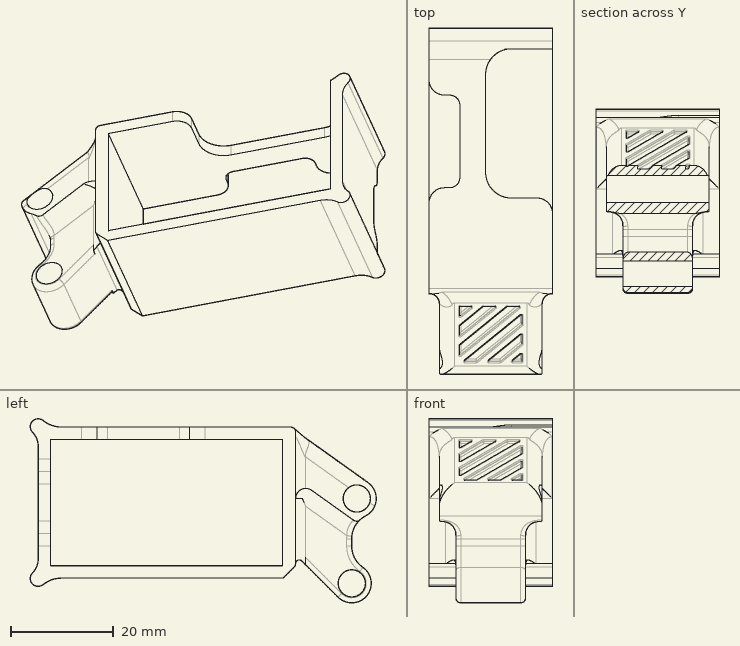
import cadquery as cq
import math

WIDTH = 24.0
CAVITY_LENGTH = 45.0
CAVITY_HEIGHT = 24.5
WALL = 2.45
FRONT_WALL = 2.6
HALF_WIDTH = WIDTH / 2
CAVITY_Y = CAVITY_LENGTH / 2
CAVITY_Z = CAVITY_HEIGHT / 2
FRONT_Y = -CAVITY_Y - FRONT_WALL
BACK_Y = CAVITY_Y + WALL
TOP_Z = CAVITY_Z + WALL

LOWER_CHAMFER = 2.45
LOWER_CHAMFER_BLEND = 1.0
UPPER_ROUND = 1.0

EAR_RADIUS = 1.55
EAR_Y = 24.95
EAR_Z = 14.75
EAR_SIDE_BLEND = 4.0
EAR_TOP_BLEND = 5.6

SIDE_NOTCH_DEPTH = 6.0
SIDE_NOTCH_BACK = 13.5
SIDE_NOTCH_FRONT = -4.5
NOTCH_INNER_RADIUS = 2.0
NOTCH_MOUTH_RADIUS = 3.0
WINDOW_LEFT = -1.0
WINDOW_FRONT = -6.5
WINDOW_RADIUS = 5.0
WINDOW_MOUTH_RADIUS = 3.0
BACK_NOTCH_DEPTH = 2.5
BACK_NOTCH_HALF_HEIGHT = 6.0
BACK_NOTCH_RADIUS = 3.0

SLOPE = math.radians(35.5)
UPPER_PIN = (-36.97, 0.79)
LOWER_PIN = (-36.0, -15.7)
KNUCKLE_RADIUS = 3.8
HOLE_RADIUS = 2.62
UPPER_HALF_WIDTH = 10.0
LOWER_HALF_WIDTH = 6.8
UPPER_EDGE_RADIUS = 3.0
LOWER_EDGE_RADIUS = 1.0
NECK_Y = -36.0
NECK_RADIUS = 5.0
LOWER_ROOT_RADIUS = 0.7
SIDE_ROOT_RADIUS = 1.95
RAMP_FOOT_Y = -26.85

GROOVE_FIELD_WIDTH = 12.16
GROOVE_FIELD_LENGTH = 13.2
GROOVE_FIELD_OFFSET = 0.95
GROOVE_COUNT = 6
GROOVE_PITCH = 4.65
GROOVE_LEG = 2.55
GROOVE_DEPTH = 0.6
GROOVE_FLOOR_RADIUS = 0.3
GROOVE_CORNER_RADIUS = 0.15
GROOVE_MOUTH_RADIUS = 0.2

ROOT_REACH = 20.0
SLAB_DEPTH = 4.0
OVERLAP = 1.0
TINY = 1e-3
BIG = 60.0

DIAGONAL = math.sqrt(0.5)
HALF_ANGLE_TAN = math.tan(math.radians(22.5))

DOWN_SLOPE = (-math.cos(SLOPE), -math.sin(SLOPE))
OFF_SLOPE = (-math.sin(SLOPE), math.cos(SLOPE))


def shift(point, direction, distance):
    return (point[0] + direction[0] * distance, point[1] + direction[1] * distance)


def toward(start, end, distance):
    """Point at a given distance from start on the way to end."""
    length = math.dist(start, end)
    return shift(start, ((end[0] - start[0]) / length, (end[1] - start[1]) / length), distance)


def arc_to(sketch, center, radius, end, start):
    """Add the shorter arc about center from start to end."""
    middle = ((start[0] + end[0]) / 2, (start[1] + end[1]) / 2)
    return sketch.threePointArc(toward(center, middle, radius), end)


def along_x(half_width):
    """YZ sketch plane at -X for extrusions symmetric about X = 0."""
    return cq.Workplane("YZ", origin=(-half_width, 0, 0))


def slope_z(y):
    """Height of the sloping top plane at a given Y."""
    tangent = shift(UPPER_PIN, OFF_SLOPE, KNUCKLE_RADIUS)
    return tangent[1] + (y - tangent[0]) * math.tan(SLOPE)


def box(x0, x1, y0, y1, z0, z1):
    return cq.Workplane("XY").box(x1 - x0, y1 - y0, z1 - z0, centered=False).translate((x0, y0, z0))


def make_ear():
    """Upper ear: a round bead blended into the top and back faces."""
    bead = (EAR_Y, EAR_Z)
    reach_y = math.sqrt((EAR_TOP_BLEND + EAR_RADIUS) ** 2 - (TOP_Z + EAR_TOP_BLEND - EAR_Z) ** 2)
    top_center = (EAR_Y - reach_y, TOP_Z + EAR_TOP_BLEND)
    reach_z = math.sqrt((EAR_SIDE_BLEND + EAR_RADIUS) ** 2 - (BACK_Y + EAR_SIDE_BLEND - EAR_Y) ** 2)
    side_center = (BACK_Y + EAR_SIDE_BLEND, EAR_Z - reach_z)
    top_start = (top_center[0], TOP_Z)
    top_end = toward(bead, top_center, EAR_RADIUS)
    side_start = toward(bead, side_center, EAR_RADIUS)
    side_end = (BACK_Y, side_center[1])
    tip_offset = EAR_RADIUS * DIAGONAL
    bead_tip = (EAR_Y + tip_offset, EAR_Z + tip_offset)
    sketch = along_x(HALF_WIDTH).moveTo(*top_start)
    sketch = arc_to(sketch, top_center, EAR_TOP_BLEND, top_end, top_start)
    sketch = sketch.threePointArc(bead_tip, side_start)
    sketch = arc_to(sketch, side_center, EAR_SIDE_BLEND, side_end, side_start)
    sketch = sketch.lineTo(CAVITY_Y, side_end[1]).lineTo(CAVITY_Y, CAVITY_Z).lineTo(top_start[0], CAVITY_Z)
    return sketch.close().extrude(WIDTH)


def make_frame():
    """Tube with chamfered and rounded front edges and an ear on each back edge."""
    blend = LOWER_CHAMFER_BLEND * HALF_ANGLE_TAN
    corner = (FRONT_Y, -TOP_Z + LOWER_CHAMFER)
    chamfer_end = (FRONT_Y + LOWER_CHAMFER, -TOP_Z)
    blend_start = toward(corner, chamfer_end, blend)
    blend_end = (FRONT_Y, corner[1] + blend)
    blend_center = (FRONT_Y + LOWER_CHAMFER_BLEND, blend_end[1])
    sketch = along_x(HALF_WIDTH).moveTo(BACK_Y, TOP_Z).lineTo(BACK_Y, -TOP_Z)
    sketch = sketch.lineTo(*chamfer_end).lineTo(*blend_start)
    sketch = arc_to(sketch, blend_center, LOWER_CHAMFER_BLEND, blend_end, blend_start)
    round_center = (FRONT_Y + UPPER_ROUND, TOP_Z - UPPER_ROUND)
    round_start = (FRONT_Y, round_center[1])
    round_end = (round_center[0], TOP_Z)
    sketch = sketch.lineTo(*round_start)
    sketch = arc_to(sketch, round_center, UPPER_ROUND, round_end, round_start).close()
    ear = make_ear()
    cavity = box(-BIG, BIG, -CAVITY_Y, CAVITY_Y, -CAVITY_Z, CAVITY_Z)
    return sketch.extrude(WIDTH).union(ear).union(ear.mirror("XY")).cut(cavity)


def mouth_flare(edge_x, inward, edge_y, outward, radius):
    """Cutter that rounds the corner between a notch side and the wall edge."""
    center = (edge_x + inward * radius, edge_y + outward * radius)
    start = (center[0], edge_y)
    end = (edge_x, center[1])
    sketch = cq.Workplane("XY", origin=(0, 0, CAVITY_Z)).moveTo(*start)
    sketch = arc_to(sketch, center, radius, end, start)
    return sketch.lineTo(edge_x, edge_y).close().extrude(WALL)


def cut_side_notch(body):
    """Notch in the -X edge of the top wall."""
    floor_x = -HALF_WIDTH + SIDE_NOTCH_DEPTH
    notch = box(-HALF_WIDTH - BIG, floor_x, SIDE_NOTCH_FRONT, SIDE_NOTCH_BACK, CAVITY_Z, BIG)
    notch = notch.edges("|Z and >X").fillet(NOTCH_INNER_RADIUS)
    notch = notch.union(mouth_flare(-HALF_WIDTH, 1, SIDE_NOTCH_BACK, 1, NOTCH_MOUTH_RADIUS))
    notch = notch.union(mouth_flare(-HALF_WIDTH, 1, SIDE_NOTCH_FRONT, -1, NOTCH_MOUTH_RADIUS))
    return body.cut(notch)


def cut_top_window(body):
    """Large opening in the +X side of the top wall, ending flush with the back wall."""
    window = box(WINDOW_LEFT, BIG, WINDOW_FRONT, CAVITY_Y, CAVITY_Z, BIG)
    window = window.edges("|Z and <X").fillet(WINDOW_RADIUS)
    window = window.union(mouth_flare(HALF_WIDTH, -1, WINDOW_FRONT, -1, WINDOW_MOUTH_RADIUS))
    return body.cut(window)


def cut_back_notch(body):
    """Shallow notch in the -X edge of the back wall with S-curve ends."""
    half_depth = BACK_NOTCH_DEPTH / 2
    run = math.sqrt(BACK_NOTCH_RADIUS ** 2 - (BACK_NOTCH_RADIUS - half_depth) ** 2)
    edge_x = -HALF_WIDTH
    floor_x = edge_x + BACK_NOTCH_DEPTH
    middle_x = edge_x + half_depth
    h = BACK_NOTCH_HALF_HEIGHT
    mouth_center_x = edge_x + BACK_NOTCH_RADIUS
    floor_center_x = floor_x - BACK_NOTCH_RADIUS
    sketch = cq.Workplane("XZ", origin=(0, BACK_Y + WALL, 0))

    mouth = (edge_x, h + run)
    middle = (middle_x, h)
    floor = (floor_x, h - run)
    sketch = sketch.moveTo(*mouth)
    sketch = arc_to(sketch, (mouth_center_x, mouth[1]), BACK_NOTCH_RADIUS, middle, mouth)
    sketch = arc_to(sketch, (floor_center_x, floor[1]), BACK_NOTCH_RADIUS, floor, middle)

    mouth = (edge_x, -h - run)
    middle = (middle_x, -h)
    floor = (floor_x, run - h)
    sketch = sketch.lineTo(*floor)
    sketch = arc_to(sketch, (floor_center_x, floor[1]), BACK_NOTCH_RADIUS, middle, floor)
    sketch = arc_to(sketch, (mouth_center_x, mouth[1]), BACK_NOTCH_RADIUS, mouth, middle)
    sketch = sketch.close()
    return body.cut(sketch.extrude(2 * WALL))


def make_arm_profile():
    """Side outline of both arms, extruded over the full width."""
    ramp_foot = (RAMP_FOOT_Y, slope_z(RAMP_FOOT_Y))
    root_y = FRONT_Y + OVERLAP
    top_tangent = shift(UPPER_PIN, OFF_SLOPE, KNUCKLE_RADIUS)
    upper_nose = shift(UPPER_PIN, DOWN_SLOPE, KNUCKLE_RADIUS)
    neck_center_y = NECK_Y - NECK_RADIUS
    reach = KNUCKLE_RADIUS + NECK_RADIUS
    upper_neck = (neck_center_y, UPPER_PIN[1] - math.sqrt(reach ** 2 - (neck_center_y - UPPER_PIN[0]) ** 2))
    lower_neck = (neck_center_y, LOWER_PIN[1] + math.sqrt(reach ** 2 - (neck_center_y - LOWER_PIN[0]) ** 2))
    upper_touch = toward(UPPER_PIN, upper_neck, KNUCKLE_RADIUS)
    lower_touch = toward(LOWER_PIN, lower_neck, KNUCKLE_RADIUS)
    neck_top = (NECK_Y, upper_neck[1])
    neck_bottom = (NECK_Y, lower_neck[1])
    d = KNUCKLE_RADIUS * DIAGONAL
    lower_nose = (LOWER_PIN[0] - d, LOWER_PIN[1] - d)
    bottom_tangent = (LOWER_PIN[0] + d, LOWER_PIN[1] - d)
    corner = (FRONT_Y, bottom_tangent[1] + FRONT_Y - bottom_tangent[0])
    blend = LOWER_ROOT_RADIUS / HALF_ANGLE_TAN
    root_start = toward(corner, bottom_tangent, blend)
    root_end = (FRONT_Y, corner[1] - blend)
    root_center = (FRONT_Y - LOWER_ROOT_RADIUS, root_end[1])

    sketch = along_x(HALF_WIDTH).moveTo(root_y, ramp_foot[1]).lineTo(*ramp_foot).lineTo(*top_tangent)
    sketch = sketch.threePointArc(upper_nose, upper_touch)
    sketch = arc_to(sketch, upper_neck, NECK_RADIUS, neck_top, upper_touch).lineTo(*neck_bottom)
    sketch = arc_to(sketch, lower_neck, NECK_RADIUS, lower_touch, neck_bottom)
    sketch = sketch.threePointArc(lower_nose, bottom_tangent).lineTo(*root_start)
    sketch = arc_to(sketch, root_center, LOWER_ROOT_RADIUS, root_end, root_start)
    return sketch.lineTo(root_y, root_end[1]).close().extrude(WIDTH)


def make_arm_section():
    """Section across the slope: rounded wide upper arm, coved down to the narrow lower arm."""
    top = KNUCKLE_RADIUS
    cove = UPPER_HALF_WIDTH - LOWER_HALF_WIDTH
    plane = cq.Plane(origin=(0, *UPPER_PIN), xDir=(1, 0, 0), normal=(0, *DOWN_SLOPE))
    w = UPPER_HALF_WIDTH
    r = UPPER_EDGE_RADIUS
    right_round = (w - r + r * DIAGONAL, top - r + r * DIAGONAL)
    right_cove = (w - cove * DIAGONAL, -top - cove + cove * DIAGONAL)
    sketch = cq.Workplane(plane).moveTo(-w + r, top).lineTo(w - r, top)
    sketch = sketch.threePointArc(right_round, (w, top - r)).lineTo(w, -top)
    sketch = sketch.threePointArc(right_cove, (w - cove, -top - cove)).lineTo(w - cove, -BIG)
    sketch = sketch.lineTo(-w + cove, -BIG).lineTo(-w + cove, -top - cove)
    sketch = sketch.threePointArc((-right_cove[0], right_cove[1]), (-w, -top)).lineTo(-w, top - r)
    sketch = sketch.threePointArc((-right_round[0], right_round[1]), (-w + r, top)).close()
    return sketch.extrude(BIG, both=True)


def make_flared_plan(half_width):
    """Plan of an arm root that flares with a concave round onto the front wall."""
    r = SIDE_ROOT_RADIUS
    d = r * (1 - DIAGONAL)
    start_y = FRONT_Y - r
    wide = HALF_WIDTH + r
    sketch = cq.Workplane("XY", origin=(0, 0, -ROOT_REACH))
    sketch = sketch.moveTo(half_width, start_y - r).lineTo(half_width, start_y)
    sketch = sketch.threePointArc((half_width + d, FRONT_Y - d), (half_width + r, FRONT_Y))
    slab_y = FRONT_Y + SLAB_DEPTH
    sketch = sketch.lineTo(wide, FRONT_Y).lineTo(wide, slab_y)
    sketch = sketch.lineTo(-wide, slab_y).lineTo(-wide, FRONT_Y)
    sketch = sketch.lineTo(-half_width - r, FRONT_Y)
    sketch = sketch.threePointArc((-half_width - d, FRONT_Y - d), (-half_width, start_y))
    return sketch.lineTo(-half_width, start_y - r).close().extrude(2 * ROOT_REACH)


def is_flare_rim(edge):
    """True for the edges of a root blank that run along its flared sides or the front face."""
    center = edge.Center()
    return center.y < FRONT_Y + TINY and abs(center.x) > TINY


def make_upper_root():
    """Flared root of the upper arm with a ramp on top and a concave round underneath."""
    round_inset = UPPER_ROUND * (1 - DIAGONAL)
    ramp_top = (FRONT_Y + round_inset, TOP_Z - round_inset)
    ramp_foot = (RAMP_FOOT_Y, slope_z(RAMP_FOOT_Y))
    ramp_start = toward(ramp_foot, ramp_top, -BIG)
    ramp_end = toward(ramp_foot, ramp_top, BIG)
    above = along_x(BIG).moveTo(*ramp_start).lineTo(*ramp_end).lineTo(ramp_start[0], ramp_end[1]).close()
    blank = make_flared_plan(UPPER_HALF_WIDTH).cut(above.extrude(2 * BIG))
    ramp_face = blank.faces("not(|X or |Y or |Z)").faces(">Z")
    rim = [edge for edge in ramp_face.edges().vals() if is_flare_rim(edge)]
    blank = blank.newObject(rim).fillet(UPPER_EDGE_RADIUS)

    bottom_z = slope_z(FRONT_Y) - 2 * KNUCKLE_RADIUS / math.cos(SLOPE)
    corner = (FRONT_Y, bottom_z)
    blend = SIDE_ROOT_RADIUS / math.tan((math.pi / 2 - SLOPE) / 2)
    root_start = shift(corner, DOWN_SLOPE, blend)
    root_end = (FRONT_Y, bottom_z - blend)
    root_center = (FRONT_Y - SIDE_ROOT_RADIUS, root_end[1])
    side = along_x(HALF_WIDTH).moveTo(root_start[0], ramp_top[1]).lineTo(*root_start)
    side = arc_to(side, root_center, SIDE_ROOT_RADIUS, root_end, root_start)
    root_y = FRONT_Y + OVERLAP
    side = side.lineTo(root_y, root_end[1]).lineTo(root_y, ramp_top[1]).close()
    return blank.intersect(side.extrude(WIDTH))


def make_lower_root(profile):
    """Flared root of the lower arm, below the underside of the upper arm."""
    start_y = FRONT_Y - SIDE_ROOT_RADIUS
    reach = box(-HALF_WIDTH, HALF_WIDTH, start_y, FRONT_Y + OVERLAP, -ROOT_REACH, UPPER_PIN[1])
    return make_flared_plan(LOWER_HALF_WIDTH).intersect(reach).intersect(profile)


def is_lower_rim(edge):
    """True for the outer edges of the lower arm's side faces, from the neck round to the root."""
    bounds = edge.BoundingBox()
    below_cove = UPPER_PIN[1] - KNUCKLE_RADIUS - (UPPER_HALF_WIDTH - LOWER_HALF_WIDTH)
    on_side = bounds.xmax - bounds.xmin < TINY and abs(abs(bounds.xmin) - LOWER_HALF_WIDTH) < TINY
    return on_side and bounds.ymin < FRONT_Y - TINY and bounds.zmax < below_cove


def make_arm():
    profile = make_arm_profile()
    arm = profile.intersect(make_arm_section())
    rim = [edge for edge in arm.edges().vals() if is_lower_rim(edge)]
    arm = arm.newObject(rim).fillet(LOWER_EDGE_RADIUS)
    return arm.union(make_upper_root()).union(make_lower_root(profile))


def cut_knuckle_holes(body):
    """Pin hole through each knuckle."""
    for y, z in (UPPER_PIN, LOWER_PIN):
        hole = along_x(HALF_WIDTH).center(y, z).circle(HOLE_RADIUS).extrude(WIDTH)
        body = body.cut(hole)
    return body


def cut_grooves(body):
    """Diagonal grooves clipped to a rectangular field in the sloping top, with rounded mouths."""
    foot = (RAMP_FOOT_Y, slope_z(RAMP_FOOT_Y))
    top = shift(foot, DOWN_SLOPE, GROOVE_FIELD_OFFSET)
    w = GROOVE_FIELD_WIDTH
    h = GROOVE_FIELD_LENGTH
    outward = cq.Vector(0, *OFF_SLOPE)
    plane = cq.Plane(origin=(-w / 2, *top), xDir=(1, 0, 0), normal=outward)
    field = cq.Workplane(plane).center(w / 2, -h / 2).rect(w, h).extrude(-GROOVE_DEPTH)
    for index in range(GROOVE_COUNT):
        near = index * GROOVE_PITCH
        far = near + GROOVE_LEG
        corners = [(near + BIG, BIG), (far + BIG, BIG), (far - BIG, -BIG), (near - BIG, -BIG)]
        band = cq.Workplane(plane).polyline(corners).close().extrude(-GROOVE_DEPTH)
        groove = band.intersect(field)
        groove = groove.edges(cq.selectors.ParallelDirSelector(outward)).fillet(GROOVE_CORNER_RADIUS)
        floor = groove.faces(cq.selectors.DirectionMinMaxSelector(outward, False))
        body = body.cut(floor.edges().fillet(GROOVE_FLOOR_RADIUS))

    def is_mouth(edge):
        ends = [plane.toLocalCoords(point) for point in (edge.startPoint(), edge.endPoint())]
        return all(abs(p.z) < TINY and -TINY < p.x < w + TINY and -h - TINY < p.y < TINY for p in ends)

    mouths = [edge for edge in body.edges().vals() if is_mouth(edge)]
    return body.newObject(mouths).fillet(GROOVE_MOUTH_RADIUS)


result = make_frame()
result = cut_side_notch(result)
result = cut_top_window(result)
result = cut_back_notch(result)
result = result.union(make_arm())
result = cut_knuckle_holes(result)
result = cut_grooves(result)